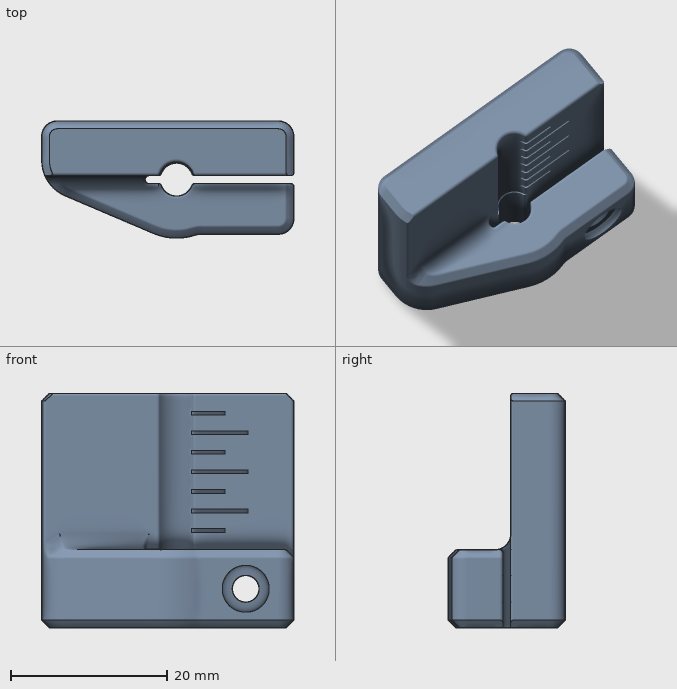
import cadquery as cq
import math

length = 32.25
depth = 15.0
height = 30.0

bore_to_left = 17.25
nose_radius = depth / 2
back_y = depth / 2
left_x = -bore_to_left
right_x = length - bore_to_left
front_right_y = -7.0
corner_radius = 2.0
left_radius = 5.0
nose_blend_radius = 2.5

clamp_height = 10.0
slit_width = 1.0
slit_straight_end_x = -3.5
plate_face_y = slit_width / 2
root_fillet = 2.0
chamfer = 1.0
overrise = 2.58
overhang = 1.3
edge_fillet = 0.4
slit_corner_fillet = 0.42

clamp_bore_diameter = 4.2
plate_bore_diameter = 4.5

screw_x = 8.85
screw_z = clamp_height / 2
screw_diameter = 3.4
screw_head_diameter = 6.0
screw_head_depth = 1.0

mark_count = 7
mark_pitch = height / 12
first_mark_z = 12.45
mark_width = 0.48
mark_depth = 0.75
short_mark_end_x = 6.2
long_mark_end_x = 9.15

pick = 0.03


def on_circle(center, radius, angle):
    """Point on a circle at an angle in radians."""
    return (center[0] + radius * math.cos(angle), center[1] + radius * math.sin(angle))


def block(x_min, x_max, y_min, y_max, z_min, z_max):
    """Axis-aligned box given by its limits."""
    box = cq.Workplane("XY").box(x_max - x_min, y_max - y_min, z_max - z_min, centered=False)
    return box.translate((x_min, y_min, z_min))


def left_round():
    """Center of the large left round, and the direction square to the sloped front face.

    The sloped face touches both the left round and the nose.
    """
    center = (left_x + left_radius, nose_radius - left_radius)
    slope_angle = (
        math.asin((nose_radius - left_radius) / math.hypot(*center))
        + math.atan2(center[1], -center[0])
    )
    return center, -math.pi / 2 - slope_angle


def plan_outline():
    """Closed plan outline, drawn counter-clockwise from the front right face."""
    left_center, slope_normal = left_round()

    blend_y = front_right_y - nose_blend_radius
    blend_x = math.sqrt((nose_radius + nose_blend_radius) ** 2 - blend_y**2)
    blend_center = (blend_x, blend_y)
    blend_angle = math.atan2(blend_y, blend_x)
    blend_start = math.pi / 2
    blend_end = blend_angle + math.pi
    blend_middle = (blend_start + blend_end) / 2

    left_middle = (slope_normal - math.pi) / 2
    return (
        cq.Workplane("XY")
        .moveTo(blend_x, front_right_y)
        .lineTo(right_x - corner_radius, front_right_y)
        .tangentArcPoint((right_x, front_right_y + corner_radius), relative=False)
        .lineTo(right_x, back_y - corner_radius)
        .tangentArcPoint((right_x - corner_radius, back_y), relative=False)
        .lineTo(left_x + corner_radius, back_y)
        .tangentArcPoint((left_x, back_y - corner_radius), relative=False)
        .lineTo(left_x, left_center[1])
        .threePointArc(
            on_circle(left_center, left_radius, left_middle),
            on_circle(left_center, left_radius, slope_normal),
        )
        .lineTo(*on_circle((0, 0), nose_radius, slope_normal))
        .threePointArc((0, -nose_radius), on_circle((0, 0), nose_radius, blend_angle))
        .threePointArc(
            on_circle(blend_center, nose_blend_radius, blend_middle),
            (blend_x, front_right_y),
        )
        .close()
    )


def edges_in(body, *limits):
    """Edges of the body that lie wholly inside a box."""
    return body.edges(cq.selectors.BoxSelector(limits[:3], limits[3:], boundingbox=True))


def clamp_and_plate():
    """Plan outline at full height, cut back to the plate above the clamp, with chamfered rims."""
    body = plan_outline().extrude(height).faces("<Z or >Z").chamfer(chamfer)
    clamp = plan_outline().extrude(clamp_height).faces("<Z or >Z").chamfer(chamfer)
    plate_space = block(left_x, right_x, plate_face_y, back_y, 0, height)
    return body.intersect(plate_space).union(clamp)


def left_rim_slope():
    """Mound whose slope is the left part of the clamp's rim chamfer, made wider and taller.

    Its foot overhangs the outer wall and its top stands above the clamp, so that the fillet
    between the slope and the plate face runs past both ends of the chamfer.
    """
    top = clamp_height + overrise
    center, slope_normal = left_round()
    radius = left_radius + overhang
    slope_start = on_circle(center, radius, slope_normal)
    slope_end = (
        slope_start[0] - length * math.sin(slope_normal),
        slope_start[1] + length * math.cos(slope_normal),
    )
    mound = (
        cq.Workplane("XY")
        .moveTo(*slope_end)
        .lineTo(slope_end[0], length)
        .lineTo(center[0] - radius, length)
        .lineTo(center[0] - radius, center[1])
        .threePointArc(on_circle(center, radius, (slope_normal - math.pi) / 2), slope_start)
        .close()
        .extrude(top)
        .faces(">Z")
        .chamfer(chamfer + overhang + overrise)
    )
    plate = block(-length, length, plate_face_y, depth, 0, height)
    mound = mound.union(plate)
    root = mound.edges(cq.selectors.BoxSelector(
        (2 * left_x, plate_face_y - pick, pick), (0, plate_face_y + pick, top)
    )).edges("%HYPERBOLA")
    return root.fillet(root_fillet)


def root_filler():
    """Fillet between the plate face and the clamp top, left of the bore only."""
    root_y = plate_face_y - root_fillet
    groove_z = clamp_height + root_fillet
    groove = (
        cq.Workplane("YZ", origin=(left_x, 0, 0))
        .center(root_y, groove_z)
        .circle(root_fillet)
        .extrude(-left_x)
    )
    corner = block(left_x, 0, root_y, plate_face_y, 0, groove_z)
    outer_wall = plan_outline().extrude(height).faces("<Z").chamfer(chamfer)
    return corner.cut(groove).intersect(left_rim_slope()).intersect(outer_wall)


def slit_cutter(bore_diameter, bottom):
    """Bore and slit from a given level up, with the corners between them rounded."""
    base = cq.Workplane("XY", origin=(0, 0, bottom))
    slit = block(slit_straight_end_x, length, -slit_width / 2, slit_width / 2, bottom, height)
    slit_end = base.center(slit_straight_end_x, 0).circle(slit_width / 2).extrude(height - bottom)
    bore = base.circle(bore_diameter / 2).extrude(height - bottom)
    cutter = bore.union(slit)
    reach = bore_diameter / 2 + 0.32
    corners = edges_in(cutter, -reach, -slit_width, bottom - 0.32, reach, slit_width, height + 0.32)
    return corners.edges("|Z").fillet(slit_corner_fillet).union(slit_end)


def bore_and_slit():
    """Bore and slit, with the bore wider where it runs along the plate."""
    plate_side = block(-length, length, 0, depth, clamp_height, height)
    plate_cutter = slit_cutter(plate_bore_diameter, clamp_height).intersect(plate_side)
    return slit_cutter(clamp_bore_diameter, 0).union(plate_cutter)


def round_plate_face(body):
    """Round the plate face along its left, right and top edges and around the bore mouth."""
    face_low = plate_face_y - pick
    face_high = plate_face_y + pick
    left_edge = edges_in(body, left_x, face_low, clamp_height, 0, face_high, height - chamfer + pick)
    body = left_edge.edges("|Z").edges("<X").fillet(edge_fillet)
    right_edge = edges_in(body, right_x - pick, face_low, 0, right_x + pick, face_high, height)
    body = right_edge.edges("|Z").fillet(edge_fillet)
    return edges_in(
        body, left_x, face_low, height - pick, right_x, plate_bore_diameter, height + pick
    ).edges("|X").edges("<X").fillet(edge_fillet)


def round_clamp_rim(body):
    """Round the rim of the slit and bore on the clamp, then the clamp's upright slit mouth."""
    face_low = -plate_face_y - pick
    face_high = -plate_face_y + pick
    rim = edges_in(body, 0, face_low, clamp_height - pick, right_x, face_high, clamp_height + pick)
    body = rim.edges("|X").fillet(edge_fillet)
    mouth = edges_in(body, right_x - pick, face_low, 0, right_x + pick, face_high, clamp_height)
    return mouth.edges("|Z").fillet(edge_fillet)


def screw_hole():
    """Counterbored clamp screw hole from front to back."""
    base = cq.Workplane("XZ", origin=(screw_x, front_right_y, screw_z))
    hole = base.circle(screw_diameter / 2).extrude(-depth)
    head = base.circle(screw_head_diameter / 2).extrude(-screw_head_depth)
    return hole.union(head)


def graduation_marks():
    """Row of grooves from the bore into the plate face, alternately short and long."""
    marks = cq.Workplane("XY")
    for i in range(mark_count):
        end_x = short_mark_end_x if i % 2 == 0 else long_mark_end_x
        z = first_mark_z + i * mark_pitch
        marks = marks.add(
            block(0, end_x, 0, plate_face_y + mark_depth, z - mark_width / 2, z + mark_width / 2)
        )
    return marks.combine()


result = clamp_and_plate().union(root_filler()).cut(bore_and_slit())
result = round_plate_face(result)
result = round_clamp_rim(result)
result = result.cut(screw_hole()).cut(graduation_marks())